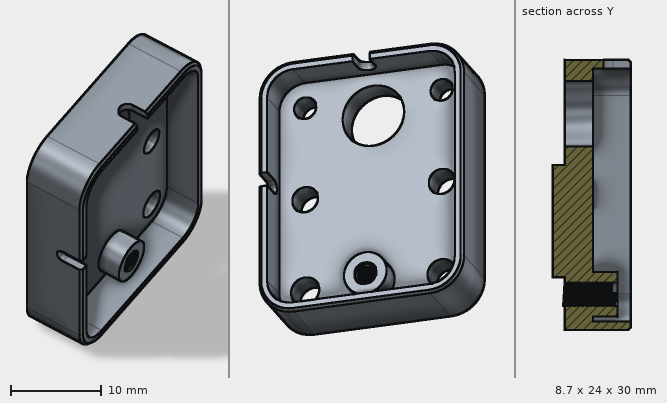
import cadquery as cq

width = 24.0
height = 30.0
overall_depth = 8.7
pad_height = 1.35
body_depth = overall_depth - pad_height
corner_radius = 4.0
rim_chamfer = 0.3
wall = 1.0
floor_thickness = 3.15

pad_radius = 4.0
pad_arch_z = -0.65
pad_bottom_z = -9.15

hole_y = 8.0
hole_row_z = 11.0
bolt_rows = [(hole_row_z, 2.58), (0.0, 3.0), (-hole_row_z, 3.3)]
window_diameter = 7.2
window_z = 9.0

thread_z = -hole_row_z
thread_major_diameter = 2.58
thread_minor_diameter = 2.07
thread_pitch = 0.45
thread_overhang = 0.2
thread_root_overlap = 0.015
ridge_root_width = 0.35
ridge_crest_width = 0.1
post_diameter = 5.0
post_recess = 1.47
post_end_x = body_depth - post_recess

top_notch_width = 2.0
top_notch_depth = 3.0
side_notch_width = 1.6
side_notch_depth = 3.3
side_notch_z = 1.25


def rounded_block(size_y, size_z, radius, start_x, end_x):
    block = cq.Workplane("YZ", origin=(start_x, 0, 0)).rect(size_y, size_z).extrude(end_x - start_x)
    return block.edges("|X").fillet(radius)


def cylinder(y, z, diameter, start_x, end_x):
    return cq.Workplane("YZ", origin=(start_x, y, z)).circle(diameter / 2).extrude(end_x - start_x)


def make_shell():
    block = rounded_block(width, height, corner_radius, 0, body_depth)
    block = block.faces(">X").edges().chamfer(rim_chamfer)
    cavity = rounded_block(
        width - 2 * wall, height - 2 * wall, corner_radius - wall, floor_thickness, body_depth
    )
    return block.cut(cavity)


def make_pad():
    return (
        cq.Workplane("YZ")
        .moveTo(-pad_radius, pad_bottom_z)
        .lineTo(pad_radius, pad_bottom_z)
        .lineTo(pad_radius, pad_arch_z)
        .threePointArc((0, pad_arch_z + pad_radius), (-pad_radius, pad_arch_z))
        .close()
        .extrude(-pad_height)
    )


def notch_profile(plane, notch_width, depth):
    """Outline a notch from the rim plane to a half-round end, in plane coordinates."""
    radius = notch_width / 2
    arc_x = body_depth - depth + radius
    return (
        plane.moveTo(body_depth, -radius)
        .lineTo(arc_x, -radius)
        .threePointArc((arc_x - radius, 0), (arc_x, radius))
        .lineTo(body_depth, radius)
        .close()
    )


def make_top_notch():
    plane = cq.Workplane("XY", origin=(0, 0, height / 2 - wall))
    return notch_profile(plane, top_notch_width, top_notch_depth).extrude(wall)


def make_side_notch():
    plane = cq.Workplane("XZ", origin=(0, -width / 2 + wall, side_notch_z))
    return notch_profile(plane, side_notch_width, side_notch_depth).extrude(wall)


def make_thread():
    """Helical ridge that starts slightly proud of the outer face."""
    root_radius = thread_major_diameter / 2 + thread_root_overlap
    crest_radius = thread_minor_diameter / 2
    length = post_end_x - ridge_root_width
    path = cq.Workplane(obj=cq.Wire.makeHelix(thread_pitch, length, crest_radius))
    ridge = (
        cq.Workplane("XZ")
        .moveTo(root_radius, -ridge_root_width / 2)
        .lineTo(crest_radius, -ridge_crest_width / 2)
        .lineTo(crest_radius, ridge_crest_width / 2)
        .lineTo(root_radius, ridge_root_width / 2)
        .close()
        .sweep(path, isFrenet=True)
    )
    start_x = ridge_root_width / 2 - thread_overhang
    return ridge.rotate((0, 0, 0), (0, 1, 0), 90).translate((start_x, 0, thread_z))


result = make_shell().union(make_pad())
result = result.union(cylinder(0, thread_z, post_diameter, 0, post_end_x))

for row_z, diameter in bolt_rows:
    for y in (-hole_y, hole_y):
        result = result.cut(cylinder(y, row_z, diameter, 0, floor_thickness))

result = result.cut(cylinder(0, window_z, window_diameter, 0, floor_thickness))
result = result.cut(cylinder(0, thread_z, thread_major_diameter, 0, post_end_x))
result = result.cut(make_top_notch()).cut(make_side_notch())
result = result.union(make_thread())